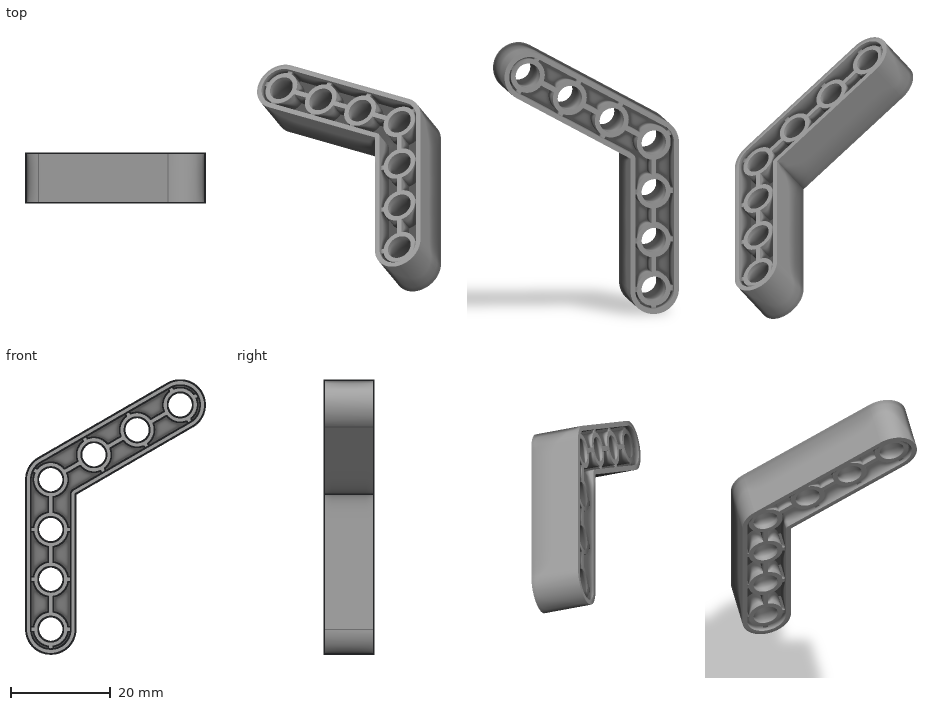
import cadquery as cq
import math

PITCH = 10.0
HOLES_PER_ARM = 4
BEND_ANGLE = 30.0
DEPTH = 10.0
BEAM_WIDTH = 10.0
WALL = 1.0
FLOOR = 1.0
HOLE_DIAMETER = 5.0
BOSS_DIAMETER = 7.0
RIB_THICKNESS = 1.0
RECESS = 0.8

ARM_LENGTH = (HOLES_PER_ARM - 1) * PITCH
CAVITY_WIDTH = BEAM_WIDTH - 2 * WALL
CORE_DEPTH = DEPTH - 2 * RECESS
LOWER_ARM = -90.0
UPPER_ARM = BEND_ANGLE
INNER_BISECTOR = (LOWER_ARM + UPPER_ARM) / 2
OUTER_BISECTOR = INNER_BISECTOR + 180.0
RIB_REACH = (BEAM_WIDTH - WALL) / 2


def polar(distance, angle):
    """Point in the XZ plane at a distance and direction from the bend hole."""
    return (distance * math.cos(math.radians(angle)), distance * math.sin(math.radians(angle)))


def section(depth):
    """XZ sketch plane whose extrusion to this depth is centred on Y = 0."""
    return cq.Workplane("XZ", origin=(0, depth / 2, 0))


def arm(angle, width, depth):
    """Straight bar with full-round ends, from the bend to the last hole."""
    center = polar(ARM_LENGTH / 2, angle)
    return section(depth).center(*center).slot2D(ARM_LENGTH + width, width, angle).extrude(depth)


def bent_bar(width, depth):
    """Both arms joined around the shared hole at the bend."""
    return arm(LOWER_ARM, width, depth).union(arm(UPPER_ARM, width, depth))


def cylinders(diameter, depth):
    """One cylinder on every hole axis."""
    return section(depth).pushPoints(hole_points).circle(diameter / 2).extrude(depth)


def rib(center, angle, length):
    """Thin rib centred on a point and running in the given direction."""
    bar = section(CORE_DEPTH).center(*center).transformed(rotate=(0, 0, angle))
    return bar.rect(length, RIB_THICKNESS).extrude(CORE_DEPTH)


def arm_ribs(angle):
    """Spine along an arm out to its end wall, and cross ribs at its holes."""
    spine_length = ARM_LENGTH + RIB_REACH
    ribs = rib(polar(spine_length / 2, angle), angle, spine_length)
    for index in range(1, HOLES_PER_ARM):
        ribs = ribs.union(rib(polar(index * PITCH, angle), angle + 90, 2 * RIB_REACH))
    return ribs


hole_points = [(0, 0)]
for arm_angle in (LOWER_ARM, UPPER_ARM):
    for index in range(1, HOLES_PER_ARM):
        hole_points.append(polar(index * PITCH, arm_angle))

inside_corner_distance = CAVITY_WIDTH / 2 / math.sin(math.radians((UPPER_ARM - LOWER_ARM) / 2))
corner_x, corner_z = polar(inside_corner_distance, INNER_BISECTOR)
cavity = bent_bar(CAVITY_WIDTH, DEPTH)
cavity = cavity.edges(cq.NearestToPointSelector((corner_x, 0, corner_z))).fillet(WALL)
wall = bent_bar(BEAM_WIDTH, DEPTH).cut(cavity)

bend_rib = rib(polar(RIB_REACH / 2, OUTER_BISECTOR), OUTER_BISECTOR, RIB_REACH)
core = cylinders(BOSS_DIAMETER, CORE_DEPTH).union(bend_rib)
core = core.union(arm_ribs(LOWER_ARM)).union(arm_ribs(UPPER_ARM))
floor = bent_bar(BEAM_WIDTH, FLOOR)

result = wall.union(core).union(floor).cut(cylinders(HOLE_DIAMETER, DEPTH))